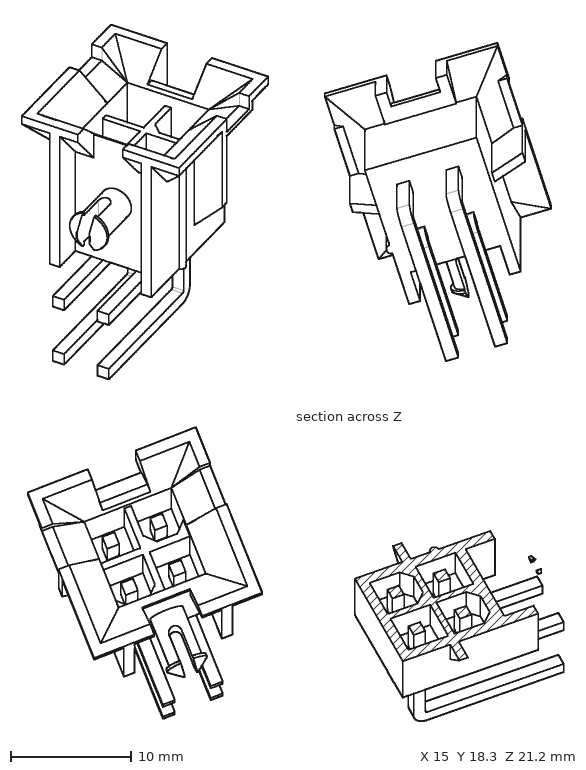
import cadquery as cq
import math

rim_width = 15.0
rim_half = rim_width / 2
rim_top = 14.14
rim_height = 0.8
rim_bottom = rim_top - rim_height
rim_wall = 0.95
body_width = 9.7
body_half = body_width / 2
well_half = 3.89
wall = body_half - well_half
funnel_bottom = 10.13
well_edge = 11.75
partition_top = 10.65
floor_top = 2.12

partition = 0.6
cavity_width = well_half - partition / 2
cavity_centre = (well_half + partition / 2) / 2
cavity_chamfer = 0.9

key_width = 4.27
key_half = key_width / 2
front_notch_floor = 12.5
back_notch_floor = 12.0
side_notch_floor = 12.82
side_notch_front = 0.53
side_notch_back = 4.27
lip_thickness = 0.42
lip_margin = 0.6

rib_width = 0.8
rib_foot = 2.87
rib_shoulder = 5.6
bead_radius = 0.38
bead_y = -body_half / 2
plate_bottom = 9.87
latch_reach = 1.35

peg_z = 6.25
peg_diameter = 2.9
peg_radius = peg_diameter / 2
collar_radius = 1.78
collar_start = -9.25
collar_end = -9.51
peg_tip = -10.38
peg_tip_radius = 0.68
peg_slot = 1.1
peg_slot_end = -6.33

pin_size = 1.08
pin_pitch_x = 4.27
pin_back_y = 2.34
pin_front_y = -1.87
pin_top = 7.43
overall_depth = 18.3
pin_end = rim_half - overall_depth
back_pin_drop = 7.1
front_pin_drop = 1.55
bend_inner = 0.17
bend_outer = bend_inner + pin_size


def box(x0, x1, y0, y1, z0, z1):
    """Box between two opposite corners."""
    return cq.Workplane("XY").box(x1 - x0, y1 - y0, z1 - z0, centered=False).translate((x0, y0, z0))


def frustum(half_low, z_low, half_high, z_high):
    """Square block tapering from one half width to another, centred on the Z axis."""
    lower = cq.Workplane("XY", origin=(0, 0, z_low)).rect(2 * half_low, 2 * half_low)
    return lower.workplane(offset=z_high - z_low).rect(2 * half_high, 2 * half_high).loft(ruled=True)


def xz_prism(points, y0, y1):
    """Outline in the XZ plane, extruded from y0 to y1."""
    return cq.Workplane("XZ", origin=(0, y1, 0)).polyline(points).close().extrude(y1 - y0)


def both_sides(shape):
    """The shape and its mirror image on the other X side."""
    return shape.union(shape.mirror("YZ"))


def outer_block():
    body = box(-body_half, body_half, -body_half, body_half, 0, rim_top)
    funnel = frustum(body_half, funnel_bottom, rim_half, rim_bottom)
    rim = box(-rim_half, rim_half, -rim_half, rim_half, rim_bottom, rim_top)
    return body.union(funnel).union(rim)


def side_lip():
    """Downward step of the rim under the +X side notch."""
    lip_bottom = side_notch_floor - lip_thickness
    lip_front = side_notch_front - rib_width
    lip_back = side_notch_back + lip_margin
    return box(body_half, rim_half, lip_front, lip_back, lip_bottom, rim_bottom)


def side_rib():
    """Vertical rib under the +X side of the rim, with a sloped foot."""
    outline = [
        (well_half, rib_foot),
        (body_half, rib_foot),
        (rim_half, rib_shoulder),
        (rim_half, rim_bottom),
        (well_half, rim_bottom),
    ]
    return xz_prism(outline, side_notch_front - rib_width, side_notch_front)


def leg():
    """Forward continuation of the +X side wall, from the underside up to the rim."""
    return box(well_half, body_half, -rim_half, -well_half, 0, rim_bottom)


def back_plate():
    """Plate beside the back notch, from the body out to the back of the rim."""
    return box(key_half, key_half + wall, well_half, rim_half, plate_bottom, rim_bottom)


def bead():
    """Half-round bead up the +X wall, ending inside the funnel."""
    return cq.Workplane("XY").center(body_half, bead_y).circle(bead_radius).extrude(well_edge)


def funnel_opening():
    """Tapered mouth and the straight well below it."""
    taper = frustum(well_half, well_edge, rim_half - rim_wall, rim_top)
    well = box(-well_half, well_half, -well_half, well_half, partition_top, well_edge)
    return taper.union(well)


def cavities():
    """Four contact cavities; two opposite ones have chamfered front corners."""
    pockets = cq.Workplane("XY")
    for x_side in (-1, 1):
        for y_side in (-1, 1):
            pocket = cq.Workplane("XY").rect(cavity_width, cavity_width).extrude(partition_top - floor_top)
            if x_side == y_side:
                pocket = pocket.edges("|Z and <Y").chamfer(cavity_chamfer)
            place = (x_side * cavity_centre, y_side * cavity_centre, floor_top)
            pockets = pockets.add(pocket.translate(place))
    return pockets.combine()


def side_notch():
    """Notch in the +X side of the rim: flat over the rim, then sloping down to the well edge."""
    rim_inside = rim_half - rim_wall
    profile = [
        (well_half, well_edge),
        (rim_inside, side_notch_floor),
        (rim_half, side_notch_floor),
        (rim_half, rim_top),
        (well_half, rim_top),
    ]
    plan = [
        (well_half, side_notch_front),
        (rim_half, side_notch_front),
        (rim_half, side_notch_back),
        (rim_inside, side_notch_back),
        (well_half, well_half),
    ]
    column = cq.Workplane("XY").polyline(plan).close().extrude(rim_top)
    return xz_prism(profile, side_notch_front, side_notch_back).intersect(column)


def front_notch():
    over_wall = box(-key_half, key_half, -body_half, -well_half, front_notch_floor, rim_top)
    return over_wall.union(box(-key_half, key_half, -rim_half, -body_half, 0, rim_top))


def back_notch():
    over_wall = box(-key_half, key_half, well_half, body_half, back_notch_floor, rim_top)
    return over_wall.union(box(-key_half, key_half, body_half, rim_half, 0, rim_top))


def latch():
    """Ramped catch on the back wall, between the back plates."""
    tip_y = body_half + latch_reach
    outline = [
        (body_half - wall / 2, plate_bottom),
        (tip_y, plate_bottom),
        (tip_y, back_notch_floor - latch_reach),
        (body_half, back_notch_floor),
        (body_half - wall / 2, back_notch_floor),
    ]
    return cq.Workplane("YZ", origin=(-key_half, 0, 0)).polyline(outline).close().extrude(key_width)


def peg():
    """Turned peg with a collar and conical head, split by a vertical slot."""
    root = -body_half + wall / 2
    half_profile = [
        (0, root),
        (peg_radius, root),
        (peg_radius, collar_start),
        (collar_radius, collar_start),
        (collar_radius, collar_end),
        (peg_tip_radius, peg_tip),
        (0, peg_tip),
    ]
    turned = cq.Workplane("XY").polyline(half_profile).close().revolve(360, (0, 0, 0), (0, 1, 0))
    round_y = peg_slot_end - peg_slot / 2
    slot = box(-peg_slot / 2, peg_slot / 2, peg_tip, round_y, -collar_radius, collar_radius)
    slot_end = cq.Workplane("XY").center(0, round_y).circle(peg_slot / 2).extrude(collar_radius, both=True)
    return turned.cut(slot).cut(slot_end).translate((0, 0, peg_z))


def pin(x, y, drop):
    """Square pin down from its cavity, bent forward so that its underside lies `drop` below the body."""
    back = y + pin_size / 2
    front = y - pin_size / 2
    low = -drop
    high = low + pin_size
    cos45 = math.sqrt(0.5)
    bend_y = front - bend_inner
    bend_z = high + bend_inner
    return (
        cq.Workplane("YZ", origin=(x - pin_size / 2, 0, 0))
        .moveTo(front, pin_top)
        .lineTo(back, pin_top)
        .lineTo(back, bend_z)
        .threePointArc((bend_y + bend_outer * cos45, bend_z - bend_outer * cos45), (bend_y, low))
        .lineTo(pin_end, low)
        .lineTo(pin_end, high)
        .lineTo(bend_y, high)
        .threePointArc((bend_y + bend_inner * cos45, bend_z - bend_inner * cos45), (front, bend_z))
        .close()
        .extrude(pin_size)
    )


housing = outer_block()
for paired_feature in (side_lip(), side_rib(), leg(), back_plate()):
    housing = housing.union(both_sides(paired_feature))
housing = housing.union(bead())

housing = housing.cut(funnel_opening()).cut(cavities())
housing = housing.cut(both_sides(side_notch())).cut(front_notch()).cut(back_notch())
housing = housing.union(latch()).union(peg())

for pin_x in (-pin_pitch_x / 2, pin_pitch_x / 2):
    housing = housing.union(pin(pin_x, pin_back_y, back_pin_drop))
    housing = housing.union(pin(pin_x, pin_front_y, front_pin_drop))

result = housing